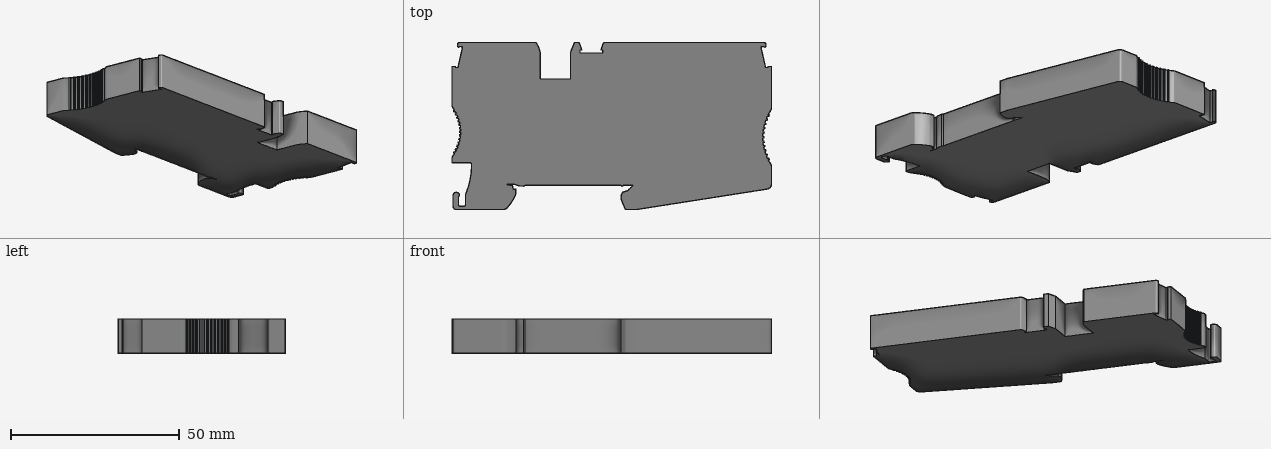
import cadquery as cq
import math

LENGTH = 94.8
HEIGHT = 49.6
THICKNESS = 10.2

LEDGE_Y = 13.9
LEDGE_INNER_X = 5.8
BACK_WALL_TOP_Y = 12.9
BACK_WALL_MIDDLE = (5.3, 8.6)
BACK_WALL_BOTTOM_Y = 4.5

LATCH_RIGHT_X = 4.0
LATCH_FLOOR_Y = 1.1
FINGER_LEFT = (0.3, 4.3)
FINGER_TOP = (1.25, 5.2)
FINGER_BEAD = (2.3, 4.15)
FINGER_RIGHT = (2.0, 4.0)

FOOT_BASE_END_X = 15.0
TOE_MIDDLE = (15.9, 0.2)
TOE_END = (16.65, 0.85)
FLANK_MIDDLE = (17.95, 2.55)
FLANK_END_Y = 4.7
FOOT_RIGHT_X = 19.0
FOOT_TOP_Y = 6.1
NECK_BOTTOM_X = 18.2
NECK_TOP_X = 18.0

SLIT_TIP_X = 16.3
SLIT_MOUTH_X = 18.6
SLIT_Y = 7.5

RAIL_FACE_Y = 7.2
BUMP_Y = RAIL_FACE_Y - 0.25
LEFT_BUMP_START = (19.9, 7.05)
LEFT_BUMP_END_X = 21.3
RIGHT_BUMP_X = 50.5
BUMP_RAMP = 0.4

HOOK_ROOT_X = 53.7
HOOK_KNEE = (52.2, 5.75)
HOOK_TIP = (50.6, 5.2)
HOOK_NOSE_MIDDLE = (50.15, 4.0)
HOOK_NOSE_END = (50.4, 2.5)
HEEL_START = (51.2, 0.6)
HEEL_MIDDLE = (51.45, 0.2)
HEEL_END_X = 52.0
SLOPE_START_X = 54.6
SLOPE_END_Y = 6.3

NOTCH_LIP_X = 1.65
NOTCH_LIP_Y = 48.4
LIP_BEAD_TIP = (2.0, 48.15)
LIP_BEAD_END_X = 2.3
NOTCH_ROOT = (3.15, 48.3)
NOTCH_SHOULDER_Y = 42.5
NOTCH_GROOVE_Y = NOTCH_SHOULDER_Y - 0.3
NOTCH_GROOVE_LEFT_X = 1.1
NOTCH_GROOVE_RIGHT_X = 1.75
OVERRUN = 1.0

SLOT_LEFT_X = 26.2
SLOT_RIGHT_X = 35.15
SLOT_FLOOR_Y = 38.8
SLOT_FLARE_Y = 46.7
SLOT_FLARE_KNEE = (25.8, 48.1)
SLOT_MOUTH_LEFT_X = 25.0
SLOT_MOUTH_RIGHT_X = 36.3
POCKET_LEFT_X = 38.0
POCKET_RIGHT_X = 44.7
POCKET_MOUTH_FLARE = 0.2
POCKET_MOUTH_LEFT_X = POCKET_LEFT_X - POCKET_MOUTH_FLARE
POCKET_MOUTH_RIGHT_X = POCKET_RIGHT_X + POCKET_MOUTH_FLARE
POCKET_FLOOR_Y = 46.5
POCKET_BARB = 0.55
POCKET_BARB_Y = 47.3

GRIP_DEPTH = 2.6
LEFT_GRIP_Y = 23.1
LEFT_GRIP_HALF = 7.45
LEFT_GRIP_TEETH = 13
LEFT_GRIP_PITCH = 1.09
RIGHT_GRIP_Y = 21.5
RIGHT_GRIP_HALF = 8.3
RIGHT_GRIP_TEETH = 11
RIGHT_GRIP_PITCH = 1.35
TOOTH_TIP = 0.4
TOOTH_BASE = 0.6
TOOTH_HEIGHT = 0.35
TOOTH_ROOT = 0.2

SMALL_RADIUS = 0.35
LIP_RADIUS = 0.6
FOOT_RADIUS = 1.1
FLANK_RADIUS = 2.0
SLOPE_START_RADIUS = 3.8
SLOPE_END_RADIUS = 1.6
GRIP_EDGE_RADIUS = 1.2


def prism(points):
    """Closed polygon extruded through the full thickness."""
    return cq.Workplane("XY").polyline(points).close().extrude(THICKNESS)


def round_corner(body, x, y, radius):
    """Fillet the upright edge that stands at (x, y)."""
    corner = cq.selectors.NearestToPointSelector((x, y, THICKNESS / 2))
    return body.edges("|Z").edges(corner).fillet(radius)


def at_right_end(shape):
    """Mirror a left end shape to the right end."""
    return shape.mirror("YZ").translate((LENGTH, 0, 0))


def make_housing():
    """Outer profile with the spring finger, the foot and the fixed rail hook."""
    profile = (
        cq.Workplane("XY")
        .moveTo(0, HEIGHT)
        .lineTo(0, LEDGE_Y)
        .lineTo(LEDGE_INNER_X, LEDGE_Y)
        .lineTo(LEDGE_INNER_X, BACK_WALL_TOP_Y)
        .threePointArc(BACK_WALL_MIDDLE, (LATCH_RIGHT_X, BACK_WALL_BOTTOM_Y))
        .lineTo(LATCH_RIGHT_X, LATCH_FLOOR_Y)
        .lineTo(FINGER_RIGHT[0], LATCH_FLOOR_Y)
        .lineTo(*FINGER_RIGHT)
        .lineTo(*FINGER_BEAD)
        .threePointArc(FINGER_TOP, FINGER_LEFT)
        .lineTo(FINGER_LEFT[0], 0)
        .lineTo(FOOT_BASE_END_X, 0)
        .threePointArc(TOE_MIDDLE, TOE_END)
        .threePointArc(FLANK_MIDDLE, (FOOT_RIGHT_X, FLANK_END_Y))
        .lineTo(FOOT_RIGHT_X, FOOT_TOP_Y)
        .lineTo(NECK_BOTTOM_X, FOOT_TOP_Y)
        .lineTo(NECK_TOP_X, RAIL_FACE_Y)
        .lineTo(SLIT_TIP_X, SLIT_Y)
        .lineTo(SLIT_MOUTH_X, SLIT_Y)
        .lineTo(*LEFT_BUMP_START)
        .lineTo(LEFT_BUMP_END_X, BUMP_Y)
        .lineTo(LEFT_BUMP_END_X + BUMP_RAMP, RAIL_FACE_Y)
        .lineTo(RIGHT_BUMP_X - BUMP_RAMP, RAIL_FACE_Y)
        .lineTo(RIGHT_BUMP_X, BUMP_Y)
        .lineTo(RIGHT_BUMP_X + BUMP_RAMP, RAIL_FACE_Y)
        .lineTo(HOOK_ROOT_X, RAIL_FACE_Y)
        .lineTo(*HOOK_KNEE)
        .lineTo(*HOOK_TIP)
        .threePointArc(HOOK_NOSE_MIDDLE, HOOK_NOSE_END)
        .lineTo(*HEEL_START)
        .threePointArc(HEEL_MIDDLE, (HEEL_END_X, 0))
        .lineTo(SLOPE_START_X, 0)
        .lineTo(LENGTH, SLOPE_END_Y)
        .lineTo(LENGTH, HEIGHT)
        .close()
    )
    rounded_corners = [
        (0, LEDGE_Y, SMALL_RADIUS),
        (LEDGE_INNER_X, LEDGE_Y, SMALL_RADIUS),
        (LATCH_RIGHT_X, LATCH_FLOOR_Y, SMALL_RADIUS),
        (FINGER_RIGHT[0], LATCH_FLOOR_Y, SMALL_RADIUS),
        (FINGER_LEFT[0], 0, FOOT_RADIUS),
        (FOOT_RIGHT_X, FLANK_END_Y, FLANK_RADIUS),
        (SLOPE_START_X, 0, SLOPE_START_RADIUS),
        (LENGTH, SLOPE_END_Y, SLOPE_END_RADIUS),
    ]
    body = profile.extrude(THICKNESS)
    for x, y, radius in rounded_corners:
        body = round_corner(body, x, y, radius)
    return body


def make_corner_notch():
    """Notch at the top left corner, running out past the left end."""
    return prism([
        (-OVERRUN, HEIGHT + OVERRUN),
        (NOTCH_LIP_X, HEIGHT + OVERRUN),
        (NOTCH_LIP_X, NOTCH_LIP_Y),
        LIP_BEAD_TIP,
        (LIP_BEAD_END_X, NOTCH_LIP_Y),
        NOTCH_ROOT,
        (NOTCH_GROOVE_RIGHT_X, NOTCH_GROOVE_Y),
        (NOTCH_GROOVE_LEFT_X, NOTCH_GROOVE_Y),
        (NOTCH_GROOVE_LEFT_X, NOTCH_SHOULDER_Y),
        (-OVERRUN, NOTCH_SHOULDER_Y),
    ])


def make_top_slot():
    """Deep slot that flares out towards the top edge."""
    return prism([
        (SLOT_LEFT_X, SLOT_FLOOR_Y),
        (SLOT_RIGHT_X, SLOT_FLOOR_Y),
        (SLOT_RIGHT_X, SLOT_FLARE_Y),
        (SLOT_MOUTH_RIGHT_X, HEIGHT),
        (SLOT_MOUTH_LEFT_X, HEIGHT),
        SLOT_FLARE_KNEE,
        (SLOT_LEFT_X, SLOT_FLARE_Y),
    ])


def make_top_pocket():
    """Shallow pocket with a retaining barb on each side."""
    return prism([
        (POCKET_LEFT_X, POCKET_FLOOR_Y),
        (POCKET_RIGHT_X, POCKET_FLOOR_Y),
        (POCKET_RIGHT_X, POCKET_BARB_Y),
        (POCKET_RIGHT_X - POCKET_BARB, POCKET_BARB_Y),
        (POCKET_MOUTH_RIGHT_X, HEIGHT),
        (POCKET_MOUTH_LEFT_X, HEIGHT),
        (POCKET_LEFT_X + POCKET_BARB, POCKET_BARB_Y),
        (POCKET_LEFT_X, POCKET_BARB_Y),
    ])


def make_grip_cut(center_y, half_width, tooth_count, pitch):
    """Concave grip for the left end (x = 0): a cylinder less its ridges."""
    radius = (half_width**2 + GRIP_DEPTH**2) / (2 * GRIP_DEPTH)
    center_x = GRIP_DEPTH - radius
    cut = cq.Workplane("XY").center(center_x, center_y).circle(radius).extrude(THICKNESS)
    ridge = prism([
        (radius + TOOTH_ROOT, -TOOTH_BASE / 2),
        (radius + TOOTH_ROOT, TOOTH_BASE / 2),
        (radius - TOOTH_HEIGHT, TOOTH_TIP / 2),
        (radius - TOOTH_HEIGHT, -TOOTH_TIP / 2),
    ])
    step = math.degrees(pitch / radius)
    for index in range(tooth_count):
        angle = (index - (tooth_count - 1) / 2) * step
        turned = ridge.rotate((0, 0, 0), (0, 0, 1), angle)
        cut = cut.cut(turned.translate((center_x, center_y, 0)))
    return cut


def round_grip_edges(body, end_x, center_y, half_width):
    """Round the two edges where a grip meets the end face."""
    for edge_y in (center_y - half_width, center_y + half_width):
        body = round_corner(body, end_x, edge_y, GRIP_EDGE_RADIUS)
    return body


result = make_housing()
corner_notch = make_corner_notch()
result = result.cut(corner_notch).cut(at_right_end(corner_notch))
result = result.cut(make_top_slot()).cut(make_top_pocket())
for lip_x in (NOTCH_LIP_X, POCKET_MOUTH_LEFT_X, POCKET_MOUTH_RIGHT_X, LENGTH - NOTCH_LIP_X):
    result = round_corner(result, lip_x, HEIGHT, LIP_RADIUS)

left_grip = make_grip_cut(LEFT_GRIP_Y, LEFT_GRIP_HALF, LEFT_GRIP_TEETH, LEFT_GRIP_PITCH)
right_grip = make_grip_cut(RIGHT_GRIP_Y, RIGHT_GRIP_HALF, RIGHT_GRIP_TEETH, RIGHT_GRIP_PITCH)
result = result.cut(left_grip).cut(at_right_end(right_grip))
result = round_grip_edges(result, 0, LEFT_GRIP_Y, LEFT_GRIP_HALF)
result = round_grip_edges(result, LENGTH, RIGHT_GRIP_Y, RIGHT_GRIP_HALF)